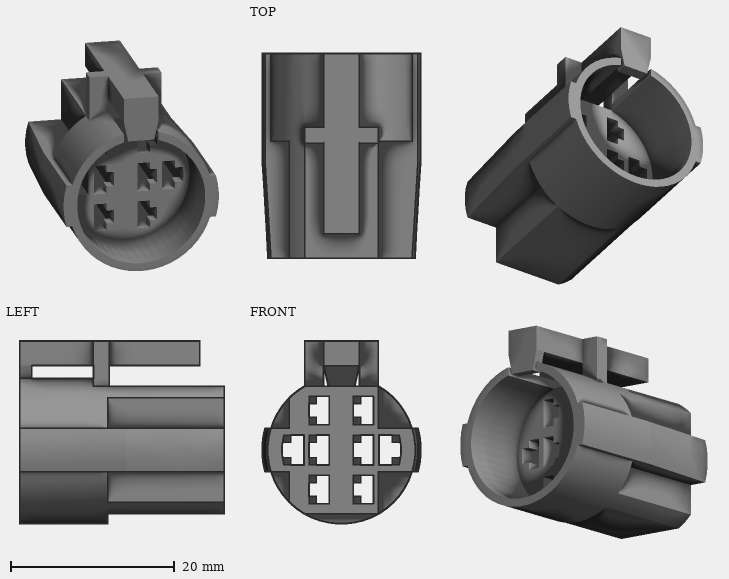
import cadquery as cq

length = 25.0

barrel_radius = 9.0
shoulder_y = 14.25
flat_z = 7.8
block_left_x = -6.38
block_right_x = 4.5

lobe_radius = 9.7
lobe_height = 5.3
lobe_taper_length = 12.0

socket_radius = 8.0
socket_floor_y = 16.0

lever_half_width = 2.18
lever_front_y = 3.0
lever_bottom_z = 10.3
lever_top_z = 13.3
hinge_front_y = 14.05
hinge_rear_y = socket_floor_y
rear_leg_length = 1.5
rear_leg_bottom_half_width = 1.62

cavity_width = 2.45
column_xs = (-2.72, 2.68)
outer_row_z = 4.82
outer_row_height = 3.45
middle_row_height = 3.65
side_cavity_inner_x = 4.6
stop_height = 0.9
stop_width = 0.9
side_cavity_radius = 7.25
side_stop_inner_x = 6.18


def box(x_range, y_range, z_range):
    """Block spanning the three given ranges."""
    sizes = [high - low for low, high in (x_range, y_range, z_range)]
    corner = (x_range[0], y_range[0], z_range[0])
    return cq.Workplane("XY").box(*sizes, centered=False).translate(corner)


def rod(radius):
    """Full-length cylinder on the barrel axis."""
    return cq.Workplane("XZ").circle(radius).extrude(-length)


def make_barrel():
    reach = 2 * barrel_radius
    barrel = rod(barrel_radius)
    front = (0, shoulder_y)
    barrel = barrel.cut(box((-reach, block_left_x), front, (-reach, reach)))
    barrel = barrel.cut(box((block_right_x, reach), front, (-reach, reach)))
    barrel = barrel.cut(box((-reach, reach), front, (-reach, -flat_z)))
    return barrel.cut(box((-reach, reach), (0, hinge_rear_y), (flat_z, reach)))


def make_lobes():
    round_body = (
        cq.Workplane("XY")
        .moveTo(0, 0)
        .lineTo(barrel_radius, 0)
        .lineTo(lobe_radius, lobe_taper_length)
        .lineTo(lobe_radius, length)
        .lineTo(0, length)
        .close()
        .revolve(360, (0, 0), (0, 1))
    )
    half_height = lobe_height / 2
    band = box((-lobe_radius, lobe_radius), (0, length), (-half_height, half_height))
    return round_body.intersect(band)


def make_socket():
    """Round socket, with a slot through its top wall below the lever."""
    depth_y = (socket_floor_y, length)
    across = (-socket_radius, socket_radius)
    socket = rod(socket_radius).intersect(box(across, depth_y, across))
    return socket.union(box((-lever_half_width, lever_half_width), depth_y, (0, barrel_radius)))


def make_lever():
    """Bar carried by two hinge posts, with a hanging leg at the rear."""
    bar_x = (-lever_half_width, lever_half_width)
    lever = box(bar_x, (lever_front_y, length), (lever_bottom_z, lever_top_z))
    hinge_y = (hinge_front_y, hinge_rear_y)
    for hinge_x in ((-block_right_x, -lever_half_width), (lever_half_width, block_right_x)):
        lever = lever.union(box(hinge_x, hinge_y, (flat_z, lever_top_z)))
    rear_leg = (
        cq.Workplane("XZ", origin=(0, length, 0))
        .moveTo(-rear_leg_bottom_half_width, flat_z)
        .lineTo(rear_leg_bottom_half_width, flat_z)
        .lineTo(lever_half_width, lever_bottom_z)
        .lineTo(-lever_half_width, lever_bottom_z)
        .close()
        .extrude(rear_leg_length)
    )
    return lever.union(rear_leg)


def make_cavity(x_range, stop_x_range, z_center, height):
    """Through cavity with two corner stops between the shoulder and the socket floor."""
    bottom_z = z_center - height / 2
    top_z = z_center + height / 2
    cavity = box(x_range, (0, socket_floor_y), (bottom_z, top_z))
    for stop_z in ((bottom_z, bottom_z + stop_height), (top_z - stop_height, top_z)):
        cavity = cavity.cut(box(stop_x_range, (shoulder_y, socket_floor_y), stop_z))
    return cavity


def make_column_cavities():
    rows = (
        (-outer_row_z, outer_row_height),
        (0, middle_row_height),
        (outer_row_z, outer_row_height),
    )
    cavities = cq.Workplane("XY")
    for column_x in column_xs:
        left_x = column_x - cavity_width / 2
        x_range = (left_x, left_x + cavity_width)
        for row_z, height in rows:
            cavities = cavities.add(make_cavity(x_range, (left_x, left_x + stop_width), row_z, height))
    return cavities.combine()


def make_side_cavity():
    """Cavity in the +X lobe, with a round outer wall."""
    x_range = (side_cavity_inner_x, side_cavity_radius)
    stop_x_range = (side_stop_inner_x, side_cavity_radius)
    return make_cavity(x_range, stop_x_range, 0, middle_row_height).intersect(rod(side_cavity_radius))


side_cavity = make_side_cavity()
result = (
    make_barrel()
    .union(make_lobes())
    .cut(make_socket())
    .union(make_lever())
    .cut(make_column_cavities())
    .cut(side_cavity)
    .cut(side_cavity.mirror("YZ"))
)